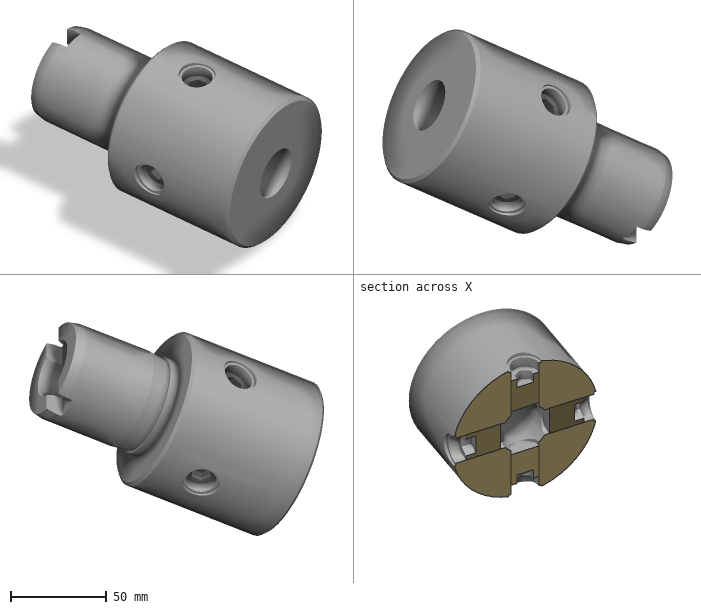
import cadquery as cq
import math

total_length = 139.7
collar_start = 60.8
collar_diameter = 86.3
collar_chamfer = 1.7

nose_radius = 25.7
nose_length = 5.2
barrel_front_radius = 26.8
ring_radius = 53.9 / 2
barrel_end = 45.8
neck_start = 55.0
neck_radius = 25.7
ring_start = 55.9
ring_root_fillet = 0.5

bore_radius = 28.5 / 2
mouth_radius = 16.0
mouth_depth = 3.5

slot_width = 12.9
slot_depth = 9.1
slot_corner_radius = 1.0

screw_position = 88.8
screw_diameter = 16.3
screw_head_radius = 34.9
screw_tip_radius = bore_radius
hole_mouth_diameter = 19.4
hole_mouth_floor = 41.1
hex_across_flats = 9.5
hex_depth = 5.6
hex_diameter = hex_across_flats / math.cos(math.radians(30))
screw_angles = (0, 90, 180, 270)

collar_radius = collar_diameter / 2


def place_radially(shape, angle):
    """Move a shape built along +Z to the screw station and turn it about the X axis."""
    return shape.translate((screw_position, 0, 0)).rotate((0, 0, 0), (1, 0, 0), angle)


def make_turned_body():
    profile = (
        cq.Workplane("XY")
        .moveTo(0, mouth_radius)
        .lineTo(0, nose_radius)
        .lineTo(nose_length, barrel_front_radius)
        .lineTo(barrel_end, ring_radius)
        .lineTo(neck_start, neck_radius)
        .lineTo(ring_start, neck_radius)
        .lineTo(ring_start, ring_radius)
        .lineTo(collar_start - ring_root_fillet, ring_radius)
        .radiusArc((collar_start, ring_radius + ring_root_fillet), -ring_root_fillet)
        .lineTo(collar_start, collar_radius - collar_chamfer)
        .lineTo(collar_start + collar_chamfer, collar_radius)
        .lineTo(total_length - collar_chamfer, collar_radius)
        .lineTo(total_length, collar_radius - collar_chamfer)
        .lineTo(total_length, bore_radius)
        .lineTo(mouth_depth, bore_radius)
        .close()
    )
    return profile.revolve(360, (0, 0, 0), (1, 0, 0))


def make_slot_cutter():
    return (
        cq.Workplane("XY")
        .box(slot_depth, slot_width, collar_diameter, centered=(False, True, True))
        .edges("|Z and >X")
        .fillet(slot_corner_radius)
    )


def make_screw_hole_cutter():
    """Stepped bore along +Z: a straight hole from the axis with a wider counterbore."""
    hole_radius = screw_diameter / 2
    mouth_edge_radius = hole_mouth_diameter / 2
    return (
        cq.Workplane("XZ")
        .lineTo(hole_radius, 0)
        .lineTo(hole_radius, hole_mouth_floor)
        .lineTo(mouth_edge_radius, hole_mouth_floor)
        .lineTo(mouth_edge_radius, collar_diameter)
        .lineTo(0, collar_diameter)
        .close()
        .revolve(360, (0, 0, 0), (0, 1, 0))
    )


def make_holder():
    holder = make_turned_body().cut(make_slot_cutter())
    for angle in screw_angles:
        holder = holder.cut(place_radially(make_screw_hole_cutter(), angle))
    return holder


def make_set_screw(angle):
    """Socket set screw; hexagon corners lie along X on Z screws and along Z on Y screws."""
    hex_turn = 0 if angle % 180 == 0 else 90
    screw = (
        cq.Workplane("XY")
        .workplane(offset=screw_tip_radius)
        .circle(screw_diameter / 2)
        .extrude(screw_head_radius - screw_tip_radius)
    )
    socket = (
        cq.Workplane("XY")
        .workplane(offset=screw_head_radius - hex_depth)
        .polygon(6, hex_diameter)
        .extrude(hex_depth)
        .rotate((0, 0, 0), (0, 0, 1), hex_turn)
    )
    return place_radially(screw.cut(socket), angle)


holder = make_holder()
set_screws = [make_set_screw(angle).val() for angle in screw_angles]
result = cq.Compound.makeCompound([holder.val(), *set_screws])